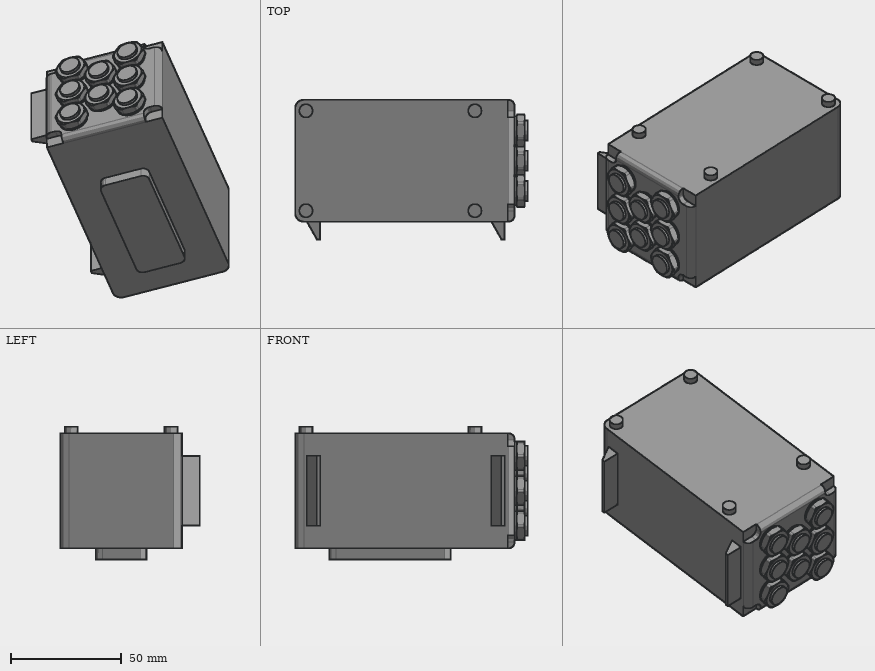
import cadquery as cq
import math

body_width = 55.0
body_height = 52.0
body_length = 96.0
body_corner_radius = 4.0
mid_height = body_height / 2

lid_thickness = 3.0
lid_edge_radius = 2.9
screw_inset_y = 5.0
screw_inset_z = 3.0
screw_recess_radius = 2.8
lid_face = body_length + lid_thickness

overall_length = 105.0
gland_pitch = 15.8
gland_column_pitch = gland_pitch * math.sqrt(3) / 2
collar_thickness = 0.8
nut_thickness = 3.8
nut_across_flats = 13.0
nut_corner_radius = 1.4
nut_outer_diameter = 14.7
nut_bevel_depth = 0.4
tip_diameter = 9.1

stud_diameter = 6.0
stud_height = 2.9
stud_inset_x = 4.9
stud_pitch_y = 45.0
stud_pitch_x = 76.1

base_start = 15.3
base_length = 54.9
base_width = 22.9
base_thickness = 5.0
base_corner_radius = 2.9

hook_starts = (5.4, 88.5)
hook_root_length = 6.0
hook_tip_length = 1.5
hook_depth = 8.0
hook_height = 31.5


def make_body():
    return (
        cq.Workplane("XY")
        .box(body_length, body_width, body_height, centered=(False, True, False))
        .edges("|Z and <X")
        .fillet(body_corner_radius)
    )


def make_screw_recess(side_y, side_z):
    """Corner notch through the lid, with a round inner corner around the screw."""
    notch_y = screw_inset_y + screw_recess_radius
    notch_z = screw_inset_z + screw_recess_radius
    return (
        cq.Workplane("XY")
        .box(lid_thickness, 2 * notch_y, 2 * notch_z, centered=(False, True, True))
        .edges("|X")
        .fillet(screw_recess_radius)
        .translate((body_length, side_y * body_width / 2, mid_height + side_z * body_height / 2))
    )


def make_lid():
    lid = (
        cq.Workplane("XY")
        .box(lid_thickness, body_width, body_height, centered=(False, True, False))
        .faces(">X")
        .edges()
        .fillet(lid_edge_radius)
        .translate((body_length, 0, 0))
    )
    for side_y in (-1, 1):
        for side_z in (-1, 1):
            lid = lid.cut(make_screw_recess(side_y, side_z))
    return lid


def make_gland():
    """Collar, hexagon nut and round tip along +X, starting at X = 0."""
    across_corners = nut_across_flats * 2 / math.sqrt(3)
    nut_end = collar_thickness + nut_thickness
    tip_end = overall_length - lid_face
    collar = cq.Workplane("YZ").circle(nut_across_flats / 2).extrude(collar_thickness)
    nut = (
        cq.Workplane("YZ", origin=(collar_thickness, 0, 0))
        .polygon(6, across_corners)
        .extrude(nut_thickness)
        .edges("|X")
        .fillet(nut_corner_radius)
    )
    nut_radius = nut_outer_diameter / 2
    nut_end_radius = nut_across_flats / 2
    turned_disc = (
        cq.Workplane("XY")
        .moveTo(collar_thickness, 0)
        .lineTo(collar_thickness, nut_end_radius)
        .lineTo(collar_thickness + nut_bevel_depth, nut_radius)
        .lineTo(nut_end - nut_bevel_depth, nut_radius)
        .lineTo(nut_end, nut_end_radius)
        .lineTo(nut_end, 0)
        .close()
        .revolve(360, (0, 0, 0), (1, 0, 0))
    )
    tip = cq.Workplane("YZ", origin=(nut_end, 0, 0)).circle(tip_diameter / 2).extrude(tip_end - nut_end)
    return collar.union(nut.intersect(turned_disc)).union(tip)


def gland_positions():
    """Three glands in each outer column and two in the middle one."""
    outer = [
        (column * gland_column_pitch, row * gland_pitch)
        for column in (-1, 1)
        for row in (-1, 0, 1)
    ]
    middle = [(0, row * gland_pitch / 2) for row in (-1, 1)]
    return outer + middle


def make_studs():
    return (
        cq.Workplane("XY", origin=(stud_inset_x + stud_pitch_x / 2, 0, body_height))
        .rarray(stud_pitch_x, stud_pitch_y, 2, 2)
        .circle(stud_diameter / 2)
        .extrude(stud_height)
    )


def make_base():
    return (
        cq.Workplane("XY")
        .box(base_length, base_width, base_thickness, centered=(False, True, False))
        .edges("|Z")
        .fillet(base_corner_radius)
        .translate((base_start, 0, -base_thickness))
    )


def make_hook(start):
    wall = -body_width / 2
    end = start + hook_root_length
    return (
        cq.Workplane("XY", origin=(0, 0, mid_height - hook_height / 2))
        .moveTo(start, wall)
        .lineTo(end - hook_tip_length, wall - hook_depth)
        .lineTo(end, wall - hook_depth)
        .lineTo(end, wall)
        .close()
        .extrude(hook_height)
    )


result = make_body().union(make_lid()).union(make_studs()).union(make_base())
for hook_start in hook_starts:
    result = result.union(make_hook(hook_start))
gland = make_gland()
for gland_y, gland_z in gland_positions():
    result = result.union(gland.translate((lid_face, gland_y, mid_height + gland_z)))